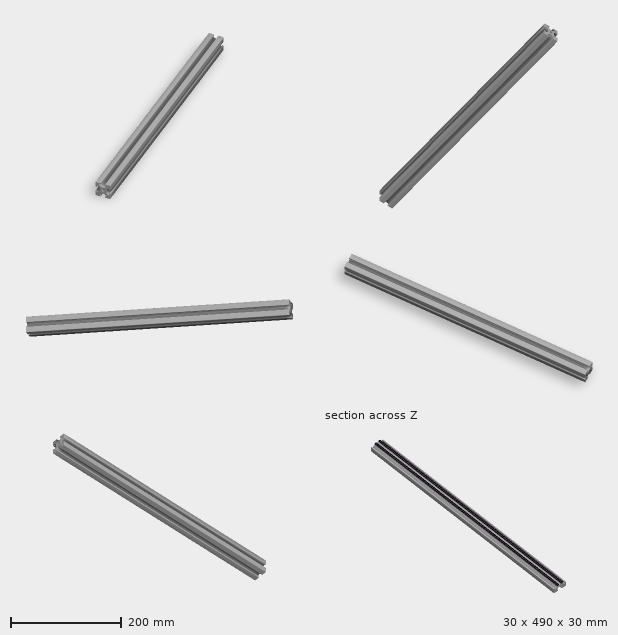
import cadquery as cq

length = 490.0
side = 30.0
corner_radius = 1.0
lip_radius = 0.75
bore_diameter = 5.5

mouth_half_width = 4.15
cavity_half_width = 7.5
lip_thickness = 2.5
cavity_wall_depth = 2.0
floor_height = 7.0
floor_half_width = 3.5
groove_half_width = 0.75
groove_depth = 0.25

half_side = side / 2
lip_underside = half_side - lip_thickness
cavity_wall_end = lip_underside - cavity_wall_depth


def make_bar():
    """Square bar with rounded long edges, centred on the origin."""
    return cq.Workplane("XY").box(side, length, side).edges("|Y").fillet(corner_radius)


def make_slot_cutter():
    """Upper T-slot: rounded mouth, tapered cavity and a centring groove in its floor."""
    right_half = [
        (groove_half_width, floor_height),
        (floor_half_width, floor_height),
        (cavity_half_width, cavity_wall_end),
        (cavity_half_width, lip_underside),
        (mouth_half_width, lip_underside),
        (mouth_half_width, half_side - lip_radius),
    ]
    mirrored_half = [(-x, z) for x, z in reversed(right_half)]
    arc_offset = lip_radius * (1 - 0.5 ** 0.5)
    arc_x = mouth_half_width + arc_offset
    arc_z = half_side - arc_offset
    mouth_top = mouth_half_width + lip_radius
    return (
        cq.Workplane("XZ")
        .moveTo(0, floor_height - groove_depth)
        .polyline(right_half, includeCurrent=True)
        .threePointArc((arc_x, arc_z), (mouth_top, half_side))
        .lineTo(-mouth_top, half_side)
        .threePointArc((-arc_x, arc_z), mirrored_half[0])
        .polyline(mirrored_half[1:], includeCurrent=True)
        .close()
        .extrude(length / 2, both=True)
    )


def make_bore():
    """Central hole through the whole length."""
    return cq.Workplane("XZ").circle(bore_diameter / 2).extrude(length / 2, both=True)


result = make_bar().cut(make_bore())
slot_cutter = make_slot_cutter()
for angle in (0, 90, 180, 270):
    result = result.cut(slot_cutter.rotate((0, 0, 0), (0, 1, 0), angle))